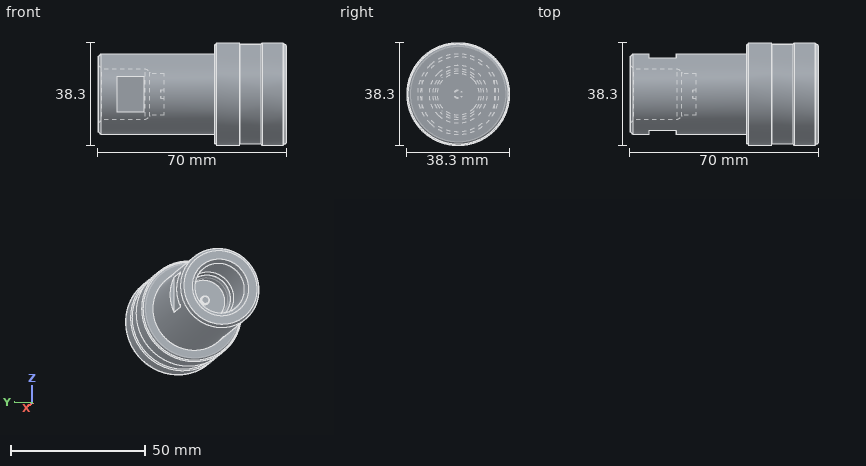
import cadquery as cq
import math

length = 70.0

body_radius = 15.05
body_chamfer = 1.05

sleeve_start = 43.2
sleeve_radius = 18.6
sleeve_front_round = 0.7
sleeve_rear_round = 0.85
band_diameter = 38.3
band_radius = band_diameter / 2
front_band_bevel = 0.2
front_band_end = 52.7
rear_band_bevel = 0.4
rear_band_start = 60.6

flat_start = 7.1
flat_length = 10.0
flat_spacing = 27.0

bore_radius = 9.45
bore_mouth_chamfer = 1.3
bore_depth = 17.5
taper_length = 1.55
pocket_lip_radius = 8.6
pocket_radius = 7.8
pocket_depth = 24.5
lip_round = pocket_lip_radius - pocket_radius

stem_radius = 1.6
stem_height = 1.4
stem_chamfer = 0.3


def cylinder(start, end, radius):
    """Solid cylinder along X between two stations."""
    return cq.Workplane("YZ", origin=(start, 0, 0)).circle(radius).extrude(end - start)


def make_body():
    body = cylinder(0, sleeve_start + sleeve_front_round, body_radius)
    return body.faces("<X").chamfer(body_chamfer)


def make_sleeve():
    sleeve = cylinder(sleeve_start, length, sleeve_radius)
    sleeve = sleeve.faces("<X").edges().fillet(sleeve_front_round)
    return sleeve.faces(">X").edges().fillet(sleeve_rear_round)


def make_band(start, end, bevel):
    """Raised band whose sides slope up from the sleeve over the bevel width."""
    profile = [
        (start, 0),
        (start, sleeve_radius),
        (start + bevel, band_radius),
        (end - bevel, band_radius),
        (end, sleeve_radius),
        (end, 0),
    ]
    return cq.Workplane("XY").polyline(profile).close().revolve(360, (0, 0), (1, 0))


def make_bore():
    lip_x = bore_depth + taper_length
    mouth_radius = bore_radius + bore_mouth_chamfer
    lip_mid_offset = lip_round * math.sqrt(0.5)
    profile = (
        cq.Workplane("XY")
        .lineTo(0, mouth_radius)
        .lineTo(bore_mouth_chamfer, bore_radius)
        .lineTo(bore_depth, bore_radius)
        .lineTo(lip_x, pocket_lip_radius)
        .threePointArc(
            (lip_x + lip_round - lip_mid_offset, pocket_lip_radius - lip_mid_offset),
            (lip_x + lip_round, pocket_radius),
        )
        .lineTo(pocket_depth, pocket_radius)
        .lineTo(pocket_depth, 0)
        .close()
    )
    return profile.revolve(360, (0, 0), (1, 0))


def make_stem():
    stem = cylinder(pocket_depth - stem_height, pocket_depth, stem_radius)
    return stem.faces("<X").chamfer(stem_chamfer)


def make_flat_cut(side):
    """Block removing the material outside one wrench flat; side is -1 or +1."""
    cut_depth = body_radius - flat_spacing / 2
    centre = (flat_start + flat_length / 2, side * (flat_spacing + cut_depth) / 2, 0)
    return cq.Workplane("XY").box(flat_length, cut_depth, 2 * body_radius).translate(centre)


front_band_start = sleeve_start + sleeve_front_round
rear_band_end = length - sleeve_rear_round

result = make_body().union(make_sleeve())
result = result.union(make_band(front_band_start, front_band_end, front_band_bevel))
result = result.union(make_band(rear_band_start, rear_band_end, rear_band_bevel))
for side in (-1, 1):
    result = result.cut(make_flat_cut(side))
result = result.cut(make_bore())
result = result.union(make_stem())